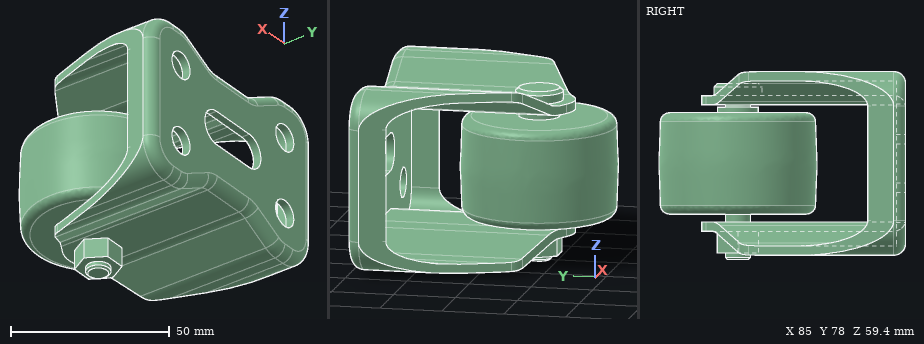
import cadquery as cq
import math


length = 85.0
height = 58.05
waist_height = 42.8
wall = 3.0
corner_radius = 11.0
waist_radius = 7.0
waist_half_length = 10.0
shoulder_half_length = 24.8
back_fillet = 3.8

nose_reach = 66.1
nose_radius = 11.0
nose_slope = 30.0
arm_corner_half_length = 25.2
arm_corner_radius = 5.6

hole_diameter = 9.5
hole_spacing_x = 54.9
hole_spacing_z = 27.9
slot_length = 29.6
slot_width = 12.2

wheel_radius = 25.0
wheel_width = 32.1
wheel_edge_radius = 24.3
wheel_fillet = 3.0
axle_reach = 52.95
spacer_radius = 6.5
spacer_thickness = 1.7

axle_radius = 4.0
axle_end_z = -30.35
axle_end_chamfer = 0.7
head_radius = 7.6
head_thickness = 3.8
head_chamfer = 1.1
nut_corner_diameter = 15.1
nut_thickness = 6.9


def cylinder(radius, bottom, top):
    """Round bar on the wheel axis between two heights."""
    bar = cq.Workplane("XY", origin=(0, -axle_reach, bottom))
    return bar.circle(radius).extrude(top - bottom)


def waisted_block():
    """Solid bracket envelope: a rounded rectangle pinched at the waist."""
    end = length / 2
    top = height / 2
    waist = waist_height / 2
    upper_half = [
        (-end, top),
        (-shoulder_half_length, top),
        (-waist_half_length, waist),
        (waist_half_length, waist),
        (shoulder_half_length, top),
        (end, top),
    ]
    lower_half = [(x, -z) for x, z in reversed(upper_half)]
    block = cq.Workplane("XZ").polyline(upper_half + lower_half).close().extrude(nose_reach)

    zone_half = (waist_half_length + shoulder_half_length) / 2
    in_waist = cq.selectors.BoxSelector((-zone_half, -nose_reach, -top), (zone_half, 0, top))
    along_y = cq.selectors.ParallelDirSelector(cq.Vector(0, 1, 0))
    block = block.edges(along_y - in_waist).fillet(corner_radius)
    return block.edges(along_y & in_waist).fillet(waist_radius)


def arm_outline():
    """Tapered plan of the bracket, from the full-width plate to the rounded nose."""
    end = length / 2
    corner_y = -nose_reach + arm_corner_half_length * math.tan(math.radians(nose_slope))
    points = [
        (-end, 0),
        (-end, -back_fillet),
        (-arm_corner_half_length, corner_y),
        (0, -nose_reach),
        (arm_corner_half_length, corner_y),
        (end, -back_fillet),
        (end, 0),
    ]
    outline = cq.Workplane("XY").polyline(points).close().extrude(height, both=True)
    outline = outline.edges("|Z and <Y").fillet(nose_radius)
    for x in (-arm_corner_half_length, arm_corner_half_length):
        corner = cq.selectors.NearestToPointSelector((x, corner_y, 0))
        outline = outline.edges(corner).fillet(arm_corner_radius)
    return outline


def make_bracket():
    """Open fork of even wall thickness, cut to the tapered outline and pierced at the back."""
    block = waisted_block()
    cavity = (
        block.faces("<Y").wires().toPending()
        .offset2D(-wall)
        .extrude(-(nose_reach - wall), combine=False)
    )
    bracket = block.faces(">Y").edges().fillet(back_fillet).cut(cavity)
    bracket = bracket.intersect(arm_outline())
    holes = (
        cq.Workplane("XZ")
        .rarray(hole_spacing_x, hole_spacing_z, 2, 2)
        .circle(hole_diameter / 2)
        .extrude(wall)
    )
    slot = cq.Workplane("XZ").slot2D(slot_length, slot_width).extrude(wall)
    return bracket.cut(holes).cut(slot)


def make_wheel():
    """Crowned wheel with rounded rims and a spacer on its upper face."""
    half = wheel_width / 2
    wheel = (
        cq.Workplane("XZ", origin=(0, -axle_reach, 0))
        .moveTo(0, -half)
        .lineTo(-wheel_edge_radius, -half)
        .threePointArc((-wheel_radius, 0), (-wheel_edge_radius, half))
        .lineTo(0, half)
        .close()
        .revolve(360, (0, 0, 0), (0, 1, 0))
    )
    wheel = wheel.faces("<Z or >Z").edges().fillet(wheel_fillet)
    return wheel.union(cylinder(spacer_radius, 0, half + spacer_thickness))


def make_axle():
    """Bolt through both arms: chamfered head on top, hexagon nut below."""
    waist = waist_height / 2
    shank = cylinder(axle_radius, axle_end_z, waist).faces("<Z").chamfer(axle_end_chamfer)
    head = cylinder(head_radius, waist, waist + head_thickness).faces(">Z").chamfer(head_chamfer)
    nut = (
        cq.Workplane("XY", origin=(0, -axle_reach, -waist))
        .polygon(6, nut_corner_diameter)
        .extrude(-nut_thickness)
    )
    return shank.union(head).union(nut)


result = make_bracket().union(make_wheel()).union(make_axle())